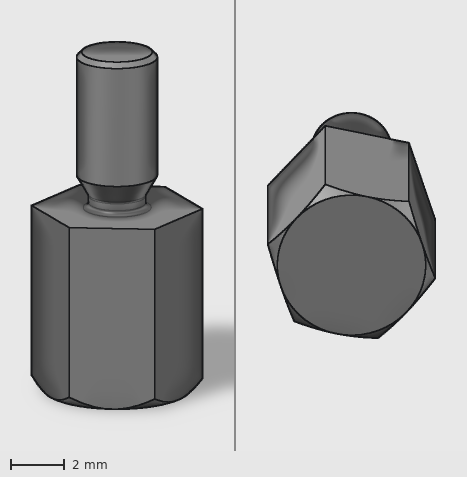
import cadquery as cq
import math

total_height = 13.0
across_flats = 5.5
body_height = 7.0
across_corners = across_flats / math.cos(math.pi / 6)

bevel_height = 0.43
bevel_overlap = 0.13

stud_radius = 3.0 / 2
stud_start = 8.24
tip_chamfer = 0.2

neck_radius = 2.13 / 2
root_fillet = 0.2
root_radius = neck_radius + root_fillet
taper_angle = math.radians(30)
taper_start = stud_start - (stud_radius - neck_radius) / math.tan(taper_angle)
taper_fillet = 0.15


def make_hex_body():
    """Hexagonal prism with corners on X, bevelled by a cone at the bottom."""
    prism = cq.Workplane("XY").polygon(6, across_corners).extrude(body_height)
    flat_radius = across_flats / 2
    corner_radius = across_corners / 2
    bevel_slope = (corner_radius - flat_radius) / bevel_height
    outer_radius = corner_radius + bevel_overlap * bevel_slope
    envelope = (
        cq.Workplane("XZ")
        .lineTo(flat_radius, 0)
        .lineTo(outer_radius, bevel_height + bevel_overlap)
        .lineTo(outer_radius, body_height)
        .lineTo(0, body_height)
        .close()
        .revolve(360, (0, 0), (0, 1))
    )
    return prism.intersect(envelope)


def make_stud():
    """Revolved stud with a filleted root, a neck, a taper and a chamfered tip."""
    tangent_length = taper_fillet * math.tan(taper_angle / 2)
    fillet_start = taper_start - tangent_length
    fillet_center_x = neck_radius + taper_fillet
    fillet_end = (
        fillet_center_x - taper_fillet * math.cos(taper_angle),
        fillet_start + taper_fillet * math.sin(taper_angle),
    )
    fillet_middle = (
        fillet_center_x - taper_fillet * math.cos(taper_angle / 2),
        fillet_start + taper_fillet * math.sin(taper_angle / 2),
    )
    root_middle_offset = root_fillet * (1 - math.sqrt(0.5))
    root_middle = (neck_radius + root_middle_offset, body_height + root_middle_offset)
    return (
        cq.Workplane("XZ")
        .lineTo(root_radius, 0)
        .lineTo(root_radius, body_height)
        .threePointArc(root_middle, (neck_radius, body_height + root_fillet))
        .lineTo(neck_radius, fillet_start)
        .threePointArc(fillet_middle, fillet_end)
        .lineTo(stud_radius, stud_start)
        .lineTo(stud_radius, total_height - tip_chamfer)
        .lineTo(stud_radius - tip_chamfer, total_height)
        .lineTo(0, total_height)
        .close()
        .revolve(360, (0, 0), (0, 1))
    )


result = make_hex_body().union(make_stud())